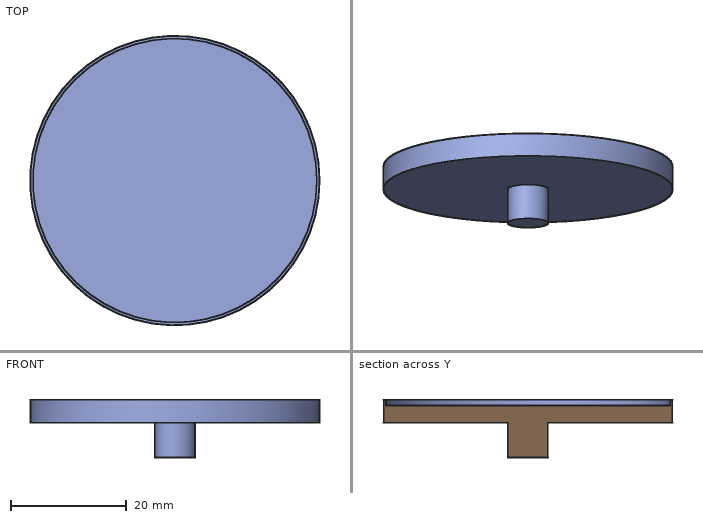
import cadquery as cq

tray_diameter = 50.0
tray_height = 4.0
recess_diameter = 49.0
recess_depth = 1.0
stem_diameter = 7.0
stem_length = 6.0


def make_tray():
    """Disc resting on Z = 0, with a round recess that leaves a thin rim at the top."""
    disc = cq.Workplane("XY").circle(tray_diameter / 2).extrude(tray_height)
    recess = (
        cq.Workplane("XY")
        .workplane(offset=tray_height - recess_depth)
        .circle(recess_diameter / 2)
        .extrude(recess_depth)
    )
    return disc.cut(recess)


def make_stem():
    """Cylindrical stem hanging from the centre of the disc's underside."""
    return cq.Workplane("XY").circle(stem_diameter / 2).extrude(-stem_length)


result = make_tray().union(make_stem())